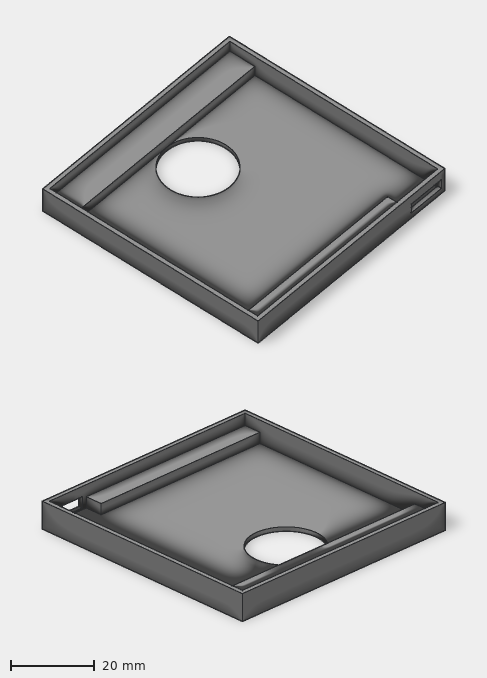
import cadquery as cq

side = 67.9
height = 7.5
wall = 1.2
floor = 1.2
inner_end = side - wall

ledge_edge = 9.1
ledge_top = 4.2

rail_edge = 61.65
rail_end = 54.3
rail_top = ledge_top

hole_diameter = 20.0
hole_x = ledge_edge + hole_diameter / 2
hole_y = 34.4

slot_length = 11.0
slot_bottom = 1.7
slot_top = 4.7


def block(x_range, y_range, z_range):
    """Make a box from its (low, high) limits along each axis."""
    (x0, x1), (y0, y1), (z0, z1) = x_range, y_range, z_range
    return cq.Workplane("XY").box(x1 - x0, y1 - y0, z1 - z0, centered=False).translate((x0, y0, z0))


outside = block((0, side), (0, side), (0, height))
cavity = block((wall, inner_end), (wall, inner_end), (floor, height))
tray = outside.cut(cavity)

ledge = block((0, ledge_edge), (0, side), (0, ledge_top))
rail = block((rail_edge, side), (0, rail_end), (0, rail_top))

hole = cq.Workplane("XY").center(hole_x, hole_y).circle(hole_diameter / 2).extrude(floor)
slot = block((inner_end, side), (inner_end - slot_length, inner_end), (slot_bottom, slot_top))

result = tray.union(ledge).union(rail).cut(hole).cut(slot)